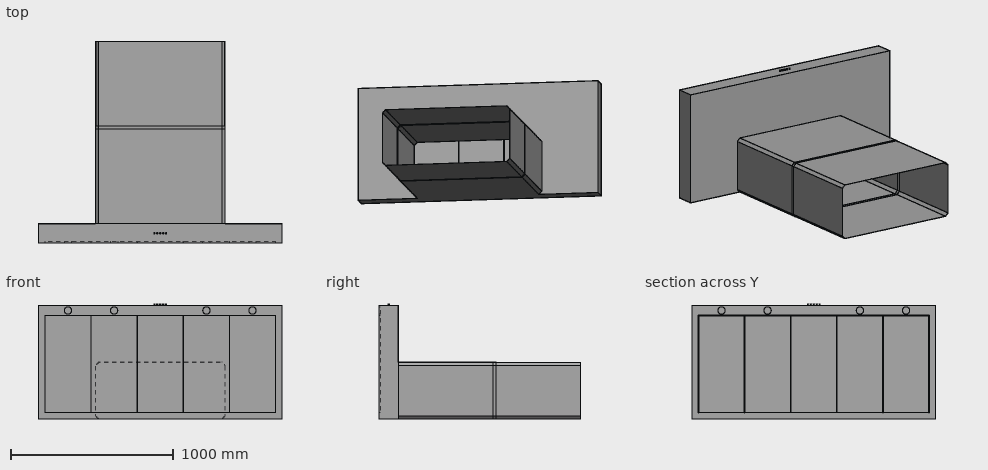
import cadquery as cq


sheet = 1.0

hood_width = 1500.0
hood_depth = 120.0
hood_height = 700.0

duct_width = 798.0
duct_height = 351.0
duct_chamfer = 20.0
overall_depth = 1240.0
lower_duct_length = 600.0
duct_overlap = 20.0
lower_duct_end = hood_depth + lower_duct_length
upper_duct_start = lower_duct_end - duct_overlap

filter_count = 5
filter_border = 40.0
filter_opening_top = 639.0
filter_clearance = 0.9
filter_thickness = 10.0
opening_width = hood_width - 2 * filter_border
opening_height = filter_opening_top - filter_border
filter_pitch = opening_width / filter_count

lamp_diameter = 45.0
lamp_thickness = 10.0
lamp_height = 669.0
lamp_columns = [column for column in range(filter_count) if column != filter_count // 2]

button_count = 5
button_pitch = 18.0
button_diameter = 8.0
button_height = 8.0


def centred_x(index, count, pitch):
    """X of one item in a row of evenly spaced items centred on the hood."""
    return (index - (count - 1) / 2) * pitch


def box(width, depth, height, x, front, bottom):
    """A box centred on x, starting at the given front (Y) and bottom (Z)."""
    return (
        cq.Workplane("XY")
        .box(width, depth, height, centered=(True, False, False))
        .translate((x, front, bottom))
    )


def duct_core(inset, start, end):
    """A solid bar with the duct's chamfered outline, shrunk all round by inset."""
    outline = (
        cq.Workplane("XZ")
        .rect(duct_width, duct_height)
        .extrude(-15)
        .edges("|Y")
        .chamfer(duct_chamfer)
        .faces("<Y")
        .wires()
        .val()
    )
    if inset > 0:
        outline = outline.offset2D(-inset)[0]
    core = cq.Solid.extrudeLinear(outline, [], cq.Vector(0, end - start, 0))
    return cq.Workplane(core).translate((0, start, duct_height / 2))


def lamp_disc(column):
    """The round lamp shape above one filter column; it also cuts the lamp's hole."""
    x = centred_x(column, filter_count, filter_pitch)
    return cq.Workplane("XZ").center(x, lamp_height).circle(lamp_diameter / 2).extrude(-lamp_thickness)


def make_button(index):
    x = centred_x(index, button_count, button_pitch)
    return (
        cq.Workplane("XY", origin=(x, hood_depth / 2, hood_height))
        .circle(button_diameter / 2)
        .extrude(button_height)
    )


def make_hood_box():
    """The hollow hood box with the filter opening and the lamp holes in its front sheet."""
    hood_box = box(hood_width, hood_depth, hood_height, 0, 0, 0)
    cavity = box(
        hood_width - 2 * sheet,
        hood_depth - 2 * sheet,
        hood_height - 2 * sheet,
        0,
        sheet,
        sheet,
    )
    opening = box(opening_width, sheet, opening_height, 0, 0, filter_border)
    hood_box = hood_box.cut(cavity).cut(opening)
    for column in lamp_columns:
        hood_box = hood_box.cut(lamp_disc(column))
    return hood_box


def make_housing():
    """Hood box, both duct stages and the buttons as one body."""
    upper_outside = duct_core(sheet, upper_duct_start, overall_depth)
    upper_inside = duct_core(2 * sheet, upper_duct_start, overall_depth)
    lower_outside = duct_core(0, hood_depth, lower_duct_end)
    lower_inside = duct_core(sheet, hood_depth - sheet, lower_duct_end)

    housing = make_hood_box().union(lower_outside).cut(lower_inside)
    housing = housing.union(upper_outside.cut(upper_inside))
    for index in range(button_count):
        housing = housing.union(make_button(index))
    return housing


def make_filter(column):
    """One flat filter, flush with the hood front and clear of its neighbours and the opening."""
    return box(
        filter_pitch - 2 * filter_clearance,
        filter_thickness,
        opening_height - 2 * filter_clearance,
        centred_x(column, filter_count, filter_pitch),
        0,
        filter_border + filter_clearance,
    )


housing = make_housing()
filters = [make_filter(column) for column in range(filter_count)]
lamps = [lamp_disc(column) for column in lamp_columns]

result = cq.Compound.makeCompound(
    [
        housing.val(),
        *[panel.val() for panel in filters],
        *[lamp.val() for lamp in lamps],
    ]
)